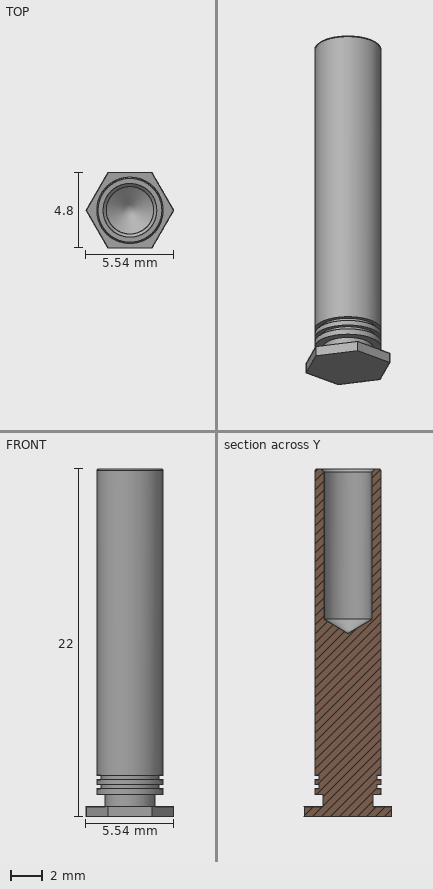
import cadquery as cq
import math


total_height = 22.0

hex_across_flats = 4.8
hex_across_corners = hex_across_flats / math.cos(math.radians(30))
head_thickness = 0.64

neck_diameter = 3.185
neck_top = 1.4

body_diameter = 4.2
groove_diameter = 3.69
groove_width = 0.26
groove_pitch = 0.58
groove_count = 2
first_groove_bottom = 1.77
body_top_chamfer = 0.08

bore_diameter = 3.0
bore_depth = 9.5
drill_point_angle = 118.0
mouth_diameter = 3.4
mouth_depth = 0.2


def make_head():
    return cq.Workplane("XY").polygon(6, hex_across_corners).extrude(head_thickness)


def make_neck():
    return cq.Workplane("XY").circle(neck_diameter / 2).extrude(neck_top)


def make_body():
    body = cq.Workplane("XY", origin=(0, 0, neck_top)).circle(body_diameter / 2)
    return body.extrude(total_height - neck_top).faces(">Z").chamfer(body_top_chamfer)


def make_groove(bottom):
    ring = cq.Workplane("XY", origin=(0, 0, bottom))
    return ring.circle(body_diameter / 2).circle(groove_diameter / 2).extrude(groove_width)


def make_bore():
    bore_radius = bore_diameter / 2
    bore_bottom = total_height - bore_depth
    point_length = bore_radius / math.tan(math.radians(drill_point_angle / 2))
    half_profile = [
        (0, bore_bottom - point_length),
        (bore_radius, bore_bottom),
        (bore_radius, total_height - mouth_depth),
        (mouth_diameter / 2, total_height),
        (0, total_height),
    ]
    return cq.Workplane("XZ").polyline(half_profile).close().revolve(360, (0, 0), (0, 1))


result = make_head().union(make_neck()).union(make_body())
for groove_index in range(groove_count):
    result = result.cut(make_groove(first_groove_bottom + groove_index * groove_pitch))
result = result.cut(make_bore())